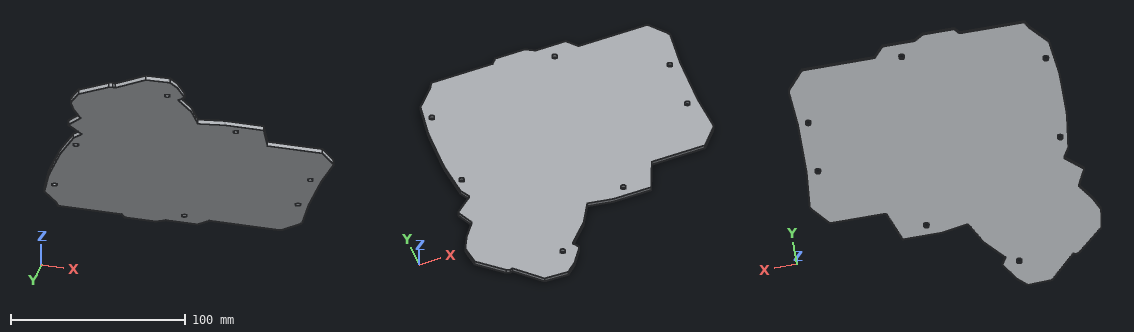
import cadquery as cq

LENGTH = 164.1
WIDTH = 156.5
THICKNESS = 3.0
HOLE_DIAMETER = 3.0

REAR_STEP_Y = 153.6
RIGHT_REAR_Y = 147.7
RIGHT_FRONT_Y = 55.8
FRONT_LEDGE_Y = 39.0
LEFT_SIDE_X = 9.4
RIGHT_SIDE_X = 162.3
RIGHT_CORNER_X = 154.5

THUMB_LOBE_FRONT = [
    (0.0, 37.3),
    (0.2, 34.3),
    (1.6, 26.1),
    (16.4, 14.0),
    (18.4, 13.3),
    (20.0, 13.8),
    (34.6, 0.5),
    (48.3, 0.0),
    (49.2, 0.2),
    (54.7, 4.8),
    (61.4, 14.3),
    (58.8, 18.2),
    (69.8, 29.5),
    (76.6, 41.5),
]
FRONT_EDGE = [
    (91.9, FRONT_LEDGE_Y),
    (115.0, FRONT_LEDGE_Y),
    (121.8, RIGHT_FRONT_Y),
    (RIGHT_CORNER_X, RIGHT_FRONT_Y),
]
RIGHT_EDGE = [
    (163.5, 66.0),
    (LENGTH, 67.3),
    (RIGHT_SIDE_X, 87.6),
    (RIGHT_SIDE_X, 115.7),
    (LENGTH, 136.2),
    (163.5, 137.7),
]
REAR_EDGE = [
    (RIGHT_CORNER_X, RIGHT_REAR_Y),
    (112.1, RIGHT_REAR_Y),
    (106.5, REAR_STEP_Y),
    (87.8, REAR_STEP_Y),
    (82.5, WIDTH),
    (64.2, WIDTH),
    (61.5, REAR_STEP_Y),
    (23.8, REAR_STEP_Y),
]
LEFT_EDGE = [
    (21.8, 150.2),
    (12.0, 139.8),
    (9.5, 121.5),
    (LEFT_SIDE_X, 117.2),
    (LEFT_SIDE_X, 98.1),
    (9.5, 94.2),
    (12.0, 75.8),
    (15.5, 70.4),
]
THUMB_LOBE_REAR = [
    (5.4, 62.4),
    (5.4, 61.4),
    (10.0, 52.7),
    (3.6, 44.3),
]

SCREW_POSITIONS = [
    (15.5, 130.5),
    (15.5, 83.0),
    (96.7, 145.7),
    (156.3, 116.5),
    (155.8, 87.3),
    (100.1, 45.0),
    (51.4, 15.0),
]


def make_plate():
    outline = THUMB_LOBE_FRONT + FRONT_EDGE + RIGHT_EDGE + REAR_EDGE + LEFT_EDGE + THUMB_LOBE_REAR
    return cq.Workplane("XY").polyline(outline).close().extrude(THICKNESS)


def make_screw_holes():
    return (
        cq.Workplane("XY")
        .pushPoints(SCREW_POSITIONS)
        .circle(HOLE_DIAMETER / 2)
        .extrude(THICKNESS)
    )


result = make_plate().cut(make_screw_holes())